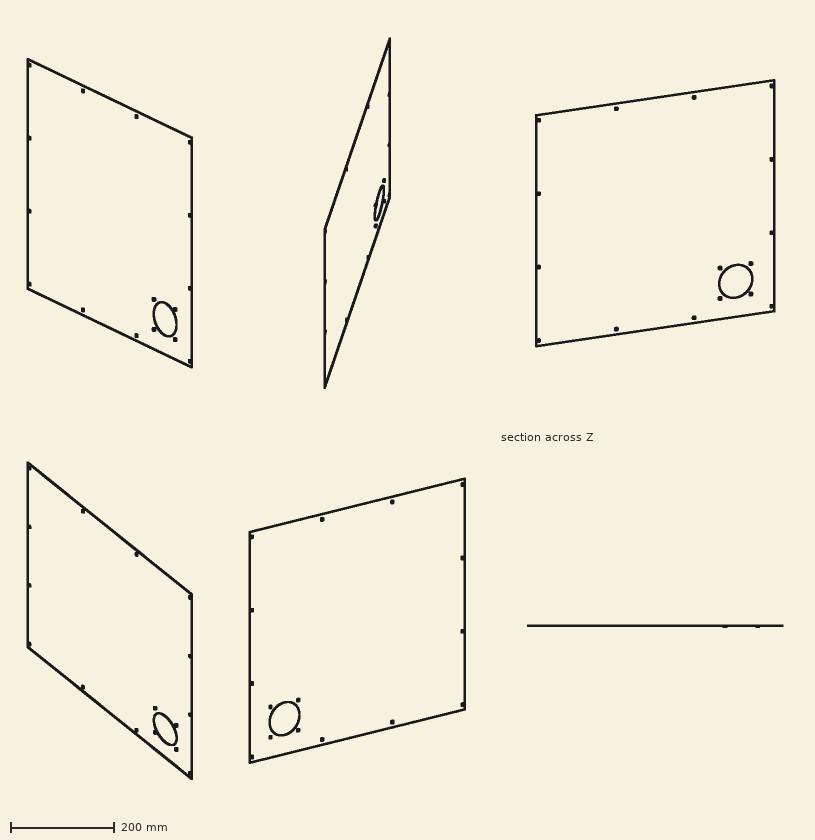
import cadquery as cq

panel_width = 493.5
panel_height = 486.0
overall_depth = 3.0
panel_thickness = 1.0
standoff_height = overall_depth - panel_thickness

fixing_diameter = 5.5
fixing_span_x = 483.5
fixing_span_z = 463.5
fixings_per_side = 4

opening_x = 166.5
opening_z = -168.0
opening_diameter = 68.5
standoff_pitch = 63.5
standoff_diameter = 5.5
standoff_bore = 3.0


def cylinder_along_y(points, diameter, start_y, length):
    """Cylinders at the given (x, z) points, running from start_y towards +Y."""
    plane = cq.Workplane("XZ", origin=(0, start_y, 0))
    return plane.pushPoints(points).circle(diameter / 2).extrude(-length)


def rim_points():
    """Evenly spaced (x, z) points around the rim of the panel."""
    last = fixings_per_side - 1
    points = []
    for column in range(fixings_per_side):
        for row in range(fixings_per_side):
            if column in (0, last) or row in (0, last):
                x = fixing_span_x * (column / last - 0.5)
                z = fixing_span_z * (row / last - 0.5)
                points.append((x, z))
    return points


standoff_points = [
    (opening_x + side_x * standoff_pitch / 2, opening_z + side_z * standoff_pitch / 2)
    for side_x in (-1, 1)
    for side_z in (-1, 1)
]

panel = cq.Workplane("XZ").rect(panel_width, panel_height).extrude(-panel_thickness)
standoffs = cylinder_along_y(standoff_points, standoff_diameter, -standoff_height, overall_depth)
fixing_holes = cylinder_along_y(rim_points(), fixing_diameter, 0, panel_thickness)
opening = cylinder_along_y([(opening_x, opening_z)], opening_diameter, 0, panel_thickness)
bores = cylinder_along_y(standoff_points, standoff_bore, -standoff_height, overall_depth)

result = panel.union(standoffs).cut(fixing_holes).cut(opening).cut(bores)